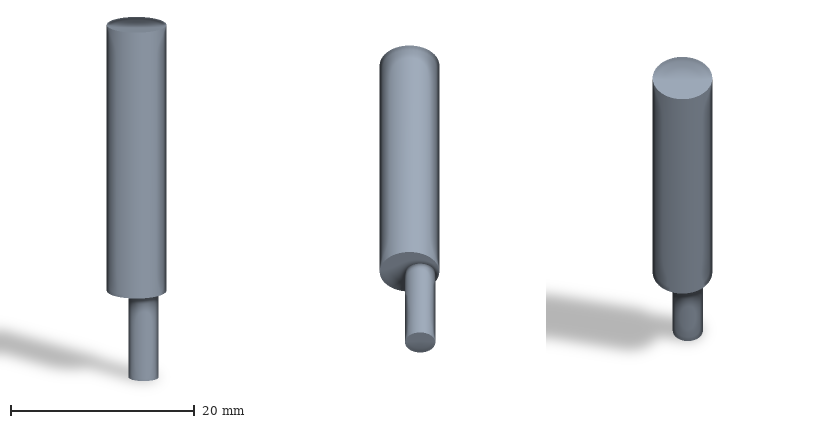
import cadquery as cq

body_diameter = 6.5
body_length = 30.0

pin_diameter = 3.3
pin_length = 10.0
pin_offset = 1.2


def make_body():
    return cq.Workplane("XY").circle(body_diameter / 2).extrude(body_length)


def make_pin():
    return (
        cq.Workplane("XY")
        .center(0, pin_offset)
        .circle(pin_diameter / 2)
        .extrude(-pin_length)
    )


result = make_body().union(make_pin())